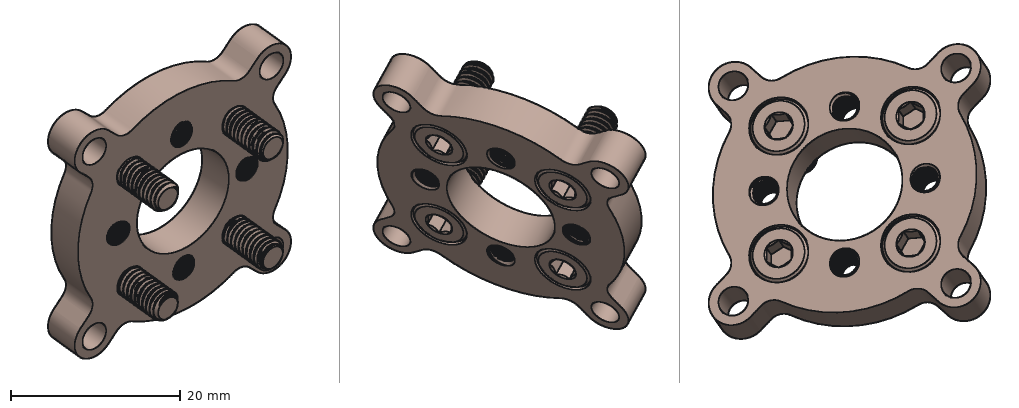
import cadquery as cq
import math

quarter_turns = [0, 90, 180, 270]

plate_thickness = 5.0
disc_radius = 16.0
bore_diameter = 14.0
lug_distance = 19.1
lug_radius = 3.0
lug_hole_diameter = 3.6
lug_blend_radius = 2.0
lug_angles = [45 + turn for turn in quarter_turns]

first_tapped_position = (9.78, 0.0)
tapped_minor_diameter = 2.85
tapped_major_diameter = 3.505
tapped_mouth_diameter = 3.6
tapped_pitch = 25.4 / 32
tapped_crest_ratio = 1 / 4

first_screw_position = (8.0, 8.0)
screw_length = 8.0
screw_diameter = 4.0
screw_root_diameter = 3.2
screw_pitch = 0.7
screw_tip_chamfer = 0.5
screw_crest_ratio = 1 / 8
head_diameter = 7.0
head_height = 4.0
head_chamfer = 0.35
socket_width = 3.0
socket_depth = 2.5
counterbore_diameter = 7.2
screw_end = head_height + screw_length

flank_slope = math.tan(math.radians(30))


def polar(radius, angle):
    """Y, Z position at a radius and an angle in degrees."""
    return (radius * math.cos(math.radians(angle)), radius * math.sin(math.radians(angle)))


def place_around(body, first_position, turn):
    """Move a body from the X axis to a Y, Z position, then turn it about X with its position."""
    return body.translate((0, *first_position)).rotate((0, 0, 0), (1, 0, 0), turn)


def cylinder(diameter, start, end):
    """Cylinder along X between two X positions."""
    return cq.Workplane("YZ", origin=(start, 0, 0)).circle(diameter / 2).extrude(end - start)


def cone(start_diameter, end_diameter, start, end):
    """Truncated cone along X between two X positions."""
    direction = cq.Vector(1, 0, 0)
    base = cq.Vector(start, 0, 0)
    return cq.Workplane(cq.Solid.makeCone(start_diameter / 2, end_diameter / 2, end - start, base, direction))


def threaded_rod(root_diameter, crest_diameter, pitch, start, length, crest_ratio):
    """Right-handed threaded rod along X, made by twisting its cross-section.

    The section is a root arc and a crest arc joined by two flank arcs. The angle that each
    one spans is its share of a pitch.
    """
    root = root_diameter / 2
    crest = crest_diameter / 2
    middle = (root + crest) / 2
    half_crest = 360 * crest_ratio / 2
    flank = 360 * (crest - root) * flank_slope / pitch
    half_middle = half_crest + flank / 2
    half_groove = half_crest + flank
    section = (
        cq.Workplane("YZ", origin=(start, 0, 0))
        .moveTo(*polar(crest, -half_crest))
        .threePointArc(polar(crest, 0), polar(crest, half_crest))
        .threePointArc(polar(middle, half_middle), polar(root, half_groove))
        .threePointArc(polar(root, 180), polar(root, -half_groove))
        .threePointArc(polar(middle, -half_middle), polar(crest, -half_crest))
        .close()
    )
    return section.twistExtrude(length, 360 * length / pitch)


def plate_outline():
    """Disc with four lugs along the diagonals, each blended into the rim."""
    blend_offset = lug_radius + lug_blend_radius
    blend_distance = disc_radius + lug_blend_radius
    blend_half_angle = math.degrees(math.asin(blend_offset / blend_distance))
    blend_along = math.sqrt(blend_distance**2 - blend_offset**2)

    def lug_point(angle, along, across):
        y_along, z_along = polar(along, angle)
        y_across, z_across = polar(across, angle + 90)
        return (y_along + y_across, z_along + z_across)

    middle_turn = math.radians((90 - blend_half_angle) / 2)
    middle_along = blend_along - lug_blend_radius * math.sin(middle_turn)
    middle_across = blend_offset - lug_blend_radius * math.cos(middle_turn)

    outline = cq.Workplane("YZ").moveTo(*polar(disc_radius, lug_angles[0] - blend_half_angle))
    for angle in lug_angles:
        outline = (
            outline.threePointArc(
                lug_point(angle, middle_along, -middle_across), lug_point(angle, blend_along, -lug_radius)
            )
            .lineTo(*lug_point(angle, lug_distance, -lug_radius))
            .threePointArc(
                polar(lug_distance + lug_radius, angle), lug_point(angle, lug_distance, lug_radius)
            )
            .lineTo(*lug_point(angle, blend_along, lug_radius))
            .threePointArc(
                lug_point(angle, middle_along, middle_across), polar(disc_radius, angle + blend_half_angle)
            )
            .threePointArc(
                polar(disc_radius, angle + 45), polar(disc_radius, angle + 90 - blend_half_angle)
            )
        )
    return outline.close()


def make_plate():
    plate = plate_outline().extrude(plate_thickness)
    plate = plate.cut(cylinder(bore_diameter, 0, plate_thickness))
    lug_points = [polar(lug_distance, angle) for angle in lug_angles]
    lug_holes = (
        cq.Workplane("YZ").pushPoints(lug_points).circle(lug_hole_diameter / 2).extrude(plate_thickness)
    )
    plate = plate.cut(lug_holes)
    screw_hole = cylinder(counterbore_diameter, 0, head_height).union(
        cylinder(screw_diameter, 0, plate_thickness)
    )
    for turn in quarter_turns:
        plate = plate.cut(place_around(screw_hole, first_screw_position, turn))
    mouth_depth = (tapped_mouth_diameter - tapped_minor_diameter) / 2
    mouth = cone(tapped_mouth_diameter, tapped_minor_diameter, 0, mouth_depth)
    thread = threaded_rod(
        tapped_minor_diameter, tapped_major_diameter, tapped_pitch, 0, plate_thickness, tapped_crest_ratio
    )
    for turn in quarter_turns:
        plate = plate.cut(place_around(mouth, first_tapped_position, turn))
        plate = plate.cut(place_around(thread, first_tapped_position, turn))
    return plate


def tip_trim():
    """Ring around the end of a screw that leaves the chamfered tip when cut away."""
    start = screw_end - screw_tip_chamfer
    tip_diameter = screw_diameter - 2 * screw_tip_chamfer
    margin = screw_tip_chamfer
    tip_cone = cone(
        screw_diameter + 2 * margin, tip_diameter - 2 * margin, start - margin, screw_end + margin
    )
    return cylinder(screw_diameter + 2 * margin, start - margin, screw_end + margin).cut(tip_cone)


def make_screw():
    """Socket head screw along X with its head face at X = 0."""
    shank = threaded_rod(
        screw_root_diameter, screw_diameter, screw_pitch, head_height, screw_length, screw_crest_ratio
    )
    shank = shank.cut(tip_trim())

    head = cylinder(head_diameter, 0, head_height).faces("<X").chamfer(head_chamfer)
    socket_corner_diameter = socket_width / math.cos(math.radians(30))
    socket = cq.Workplane("YZ").polygon(6, socket_corner_diameter).extrude(socket_depth)
    lead_in_depth = (socket_corner_diameter - socket_width) / 2
    lead_in = cone(socket_corner_diameter, socket_width, 0, lead_in_depth)
    head = head.cut(socket).cut(lead_in)
    return head.union(shank)


plate = make_plate()
screw = make_screw()
screws = [place_around(screw, first_screw_position, turn) for turn in quarter_turns]

result = cq.Compound.makeCompound([plate.val(), *[placed.val() for placed in screws]])